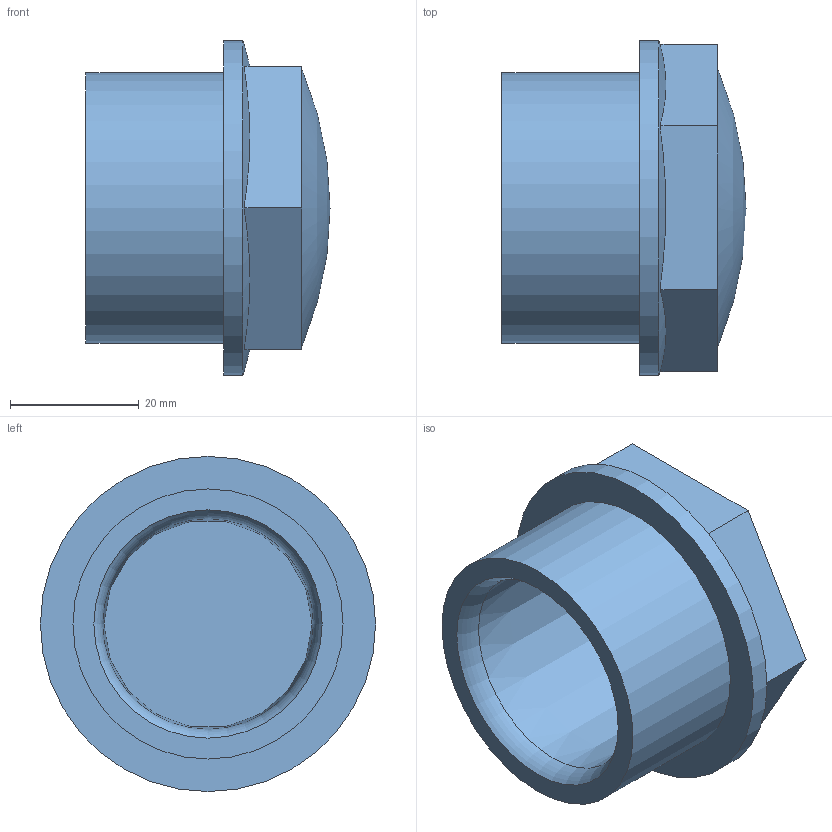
import cadquery as cq
import math


spigot_length = 21.35
flange_thickness = 3.0
head_length = 9.15
total_length = 37.87
bore_depth = 30.0

spigot_diameter = 41.9
flange_diameter = 52.0
head_sides = 6
across_flats = 44.0
dome_diameter = 43.0

mouth_diameter = 35.4
throat_diameter = 32.7
floor_diameter = 32.2
lead_in_radius = 5.0

corner_cone_slope = 15.0

flange_end = spigot_length + flange_thickness
head_end = flange_end + head_length
dome_height = total_length - head_end
across_corners = across_flats / math.cos(math.pi / head_sides)


def cylinder(start, length, diameter):
    """Solid cylinder on the X axis."""
    return cq.Workplane("YZ", origin=(start, 0, 0)).circle(diameter / 2).extrude(length)


def revolve_about_x(profile):
    """Turn a closed (x, radius) profile about the X axis."""
    return profile.close().revolve(360, (0, 0, 0), (1, 0, 0))


def hex_head():
    """Hexagon with flats facing +Z and -Z."""
    head = cq.Workplane("YZ", origin=(flange_end, 0, 0))
    return head.polygon(head_sides, across_corners).extrude(head_length)


def flange_cone():
    """Shallow cone rising from the flange rim to the hexagon flats."""
    rim_radius = flange_diameter / 2
    rise = rim_radius * math.tan(math.radians(corner_cone_slope))
    profile = (
        cq.Workplane("XY")
        .moveTo(flange_end, 0)
        .lineTo(flange_end, rim_radius)
        .lineTo(flange_end + rise, 0)
    )
    return revolve_about_x(profile)


def dome():
    """Spherical cap on the outer face of the head."""
    rim_radius = dome_diameter / 2
    sphere_radius = (rim_radius**2 + dome_height**2) / (2 * dome_height)
    half_angle = math.asin(rim_radius / sphere_radius) / 2
    arc_x = total_length - sphere_radius * (1 - math.cos(half_angle))
    arc_radius = sphere_radius * math.sin(half_angle)
    profile = (
        cq.Workplane("XY")
        .moveTo(head_end, 0)
        .lineTo(head_end, rim_radius)
        .threePointArc((arc_x, arc_radius), (total_length, 0))
    )
    return revolve_about_x(profile)


def bore():
    """Tapered bore whose mouth rounds outward, level with the axis where it meets the taper."""
    mouth_radius = mouth_diameter / 2
    throat_radius = throat_diameter / 2
    lead_in_angle = math.acos(1 - (mouth_radius - throat_radius) / lead_in_radius)
    lead_in_depth = lead_in_radius * math.sin(lead_in_angle)
    arc_x = lead_in_depth - lead_in_radius * math.sin(lead_in_angle / 2)
    arc_radius = throat_radius + lead_in_radius * (1 - math.cos(lead_in_angle / 2))
    profile = (
        cq.Workplane("XY")
        .lineTo(0, mouth_radius)
        .threePointArc((arc_x, arc_radius), (lead_in_depth, throat_radius))
        .lineTo(bore_depth, floor_diameter / 2)
        .lineTo(bore_depth, 0)
    )
    return revolve_about_x(profile)


spigot = cylinder(0, spigot_length, spigot_diameter)
flange = cylinder(spigot_length, flange_thickness, flange_diameter)
body = spigot.union(flange).union(hex_head()).union(flange_cone()).union(dome())
result = body.cut(bore())